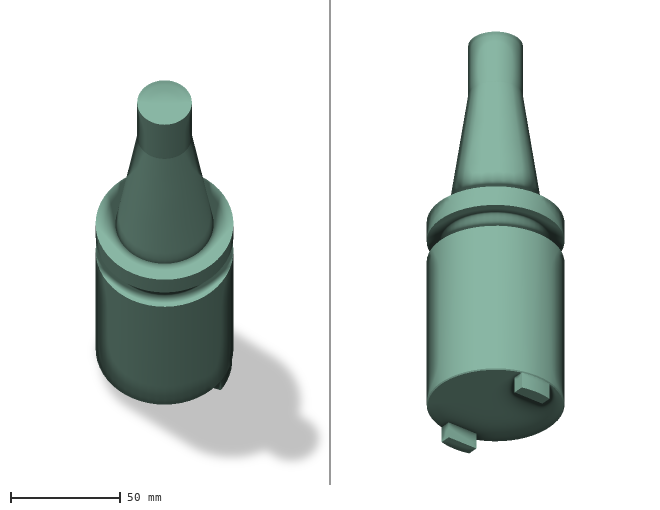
import cadquery as cq

GAUGE_DIAMETER = 44.45
TAIL_DIAMETER = 25.0
TAPER_RATIO = 7 / 24
SHANK_LENGTH = 93.4
FLANGE_GAP = 1.6

BODY_DIAMETER = 63.0
GROOVE_DIAMETER = 50.0
FLANGE_LENGTH = 10.0
GROOVE_LENGTH = 11.2
GROOVE_FILLET = 0.5
BODY_CHAMFER = 0.5

OVERALL_LENGTH = 201.4
KEY_HEIGHT = 8.0
KEY_WIDTH = 16.0
KEY_OUTER_DIAMETER = 62.0
KEY_INNER_DISTANCE = 24.6

TAPER_LENGTH = (GAUGE_DIAMETER - TAIL_DIAMETER) / TAPER_RATIO
FLANGE_TOP = -FLANGE_GAP
TAPER_BASE_DIAMETER = GAUGE_DIAMETER + FLANGE_GAP * TAPER_RATIO
GROOVE_TOP = FLANGE_TOP - FLANGE_LENGTH
BODY_TOP = GROOVE_TOP - GROOVE_LENGTH
KEY_BOTTOM = SHANK_LENGTH - OVERALL_LENGTH
BODY_BOTTOM = KEY_BOTTOM + KEY_HEIGHT


def cylinder(diameter, bottom, top):
    """Upright cylinder on the part axis between two heights."""
    return cq.Workplane("XY").workplane(offset=bottom).circle(diameter / 2).extrude(top - bottom)


def make_shank():
    """Straight tail and taper as one revolved profile."""
    profile = (
        cq.Workplane("XZ")
        .moveTo(0, FLANGE_TOP)
        .lineTo(TAPER_BASE_DIAMETER / 2, FLANGE_TOP)
        .lineTo(TAIL_DIAMETER / 2, TAPER_LENGTH)
        .lineTo(TAIL_DIAMETER / 2, SHANK_LENGTH)
        .lineTo(0, SHANK_LENGTH)
        .close()
    )
    return profile.revolve(360, (0, 0, 0), (0, 1, 0))


def make_head():
    """Flange and body joined by a neck that is filleted at both ends."""
    flange = cylinder(BODY_DIAMETER, GROOVE_TOP, FLANGE_TOP)
    neck = cylinder(GROOVE_DIAMETER, BODY_TOP, GROOVE_TOP)
    body = cylinder(BODY_DIAMETER, BODY_BOTTOM, BODY_TOP).faces("<Z").edges().chamfer(BODY_CHAMFER)
    head = flange.union(neck).union(body)
    neck_ends = cq.selectors.RadiusNthSelector(0)
    return head.edges("%CIRCLE").edges(neck_ends).fillet(GROOVE_FILLET)


def make_key(side):
    """Driving key with a round outer side and a flat inner side; side is +1 or -1 along X."""
    outer_radius = KEY_OUTER_DIAMETER / 2
    depth = outer_radius - KEY_INNER_DISTANCE
    block = (
        cq.Workplane("XY")
        .workplane(offset=KEY_BOTTOM)
        .center(side * (KEY_INNER_DISTANCE + depth / 2), 0)
        .rect(depth, KEY_WIDTH)
        .extrude(KEY_HEIGHT)
    )
    return block.intersect(cylinder(KEY_OUTER_DIAMETER, KEY_BOTTOM, BODY_BOTTOM))


result = make_head().union(make_shank())
for key_side in (-1, 1):
    result = result.union(make_key(key_side))